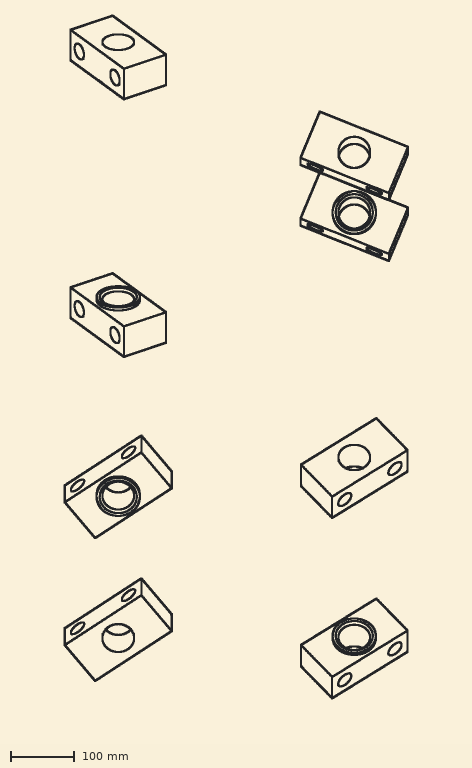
import cadquery as cq

overall_height = 520.0
block_length = 150.0
block_width = 80.0
block_height = 55.0

collar_diameter = 68.0
collar_height = 5.0

bore_diameter = 50.0
bore_chamfer = 4.0
bolt_hole_diameter = 26.0
bolt_hole_spacing = 100.0


def make_block():
    """Lower clamp block, resting on Z = 0 with its collar pointing up."""
    block = cq.Workplane("XY").box(
        block_length, block_width, block_height, centered=(True, True, False)
    )
    collar = (
        cq.Workplane("XY")
        .workplane(offset=block_height)
        .circle(collar_diameter / 2)
        .extrude(collar_height)
    )
    block = block.union(collar)

    bore_mouth = bore_diameter + 2 * bore_chamfer
    block = block.faces(">Z").workplane().cskHole(bore_diameter, bore_mouth, 90)

    bolt_holes = (
        cq.Workplane("XZ")
        .pushPoints([(side * bolt_hole_spacing / 2, block_height / 2) for side in (-1, 1)])
        .circle(bolt_hole_diameter / 2)
        .extrude(block_width, both=True)
    )
    return block.cut(bolt_holes)


blocks = []
for base_height, turn in ((0, 0), (overall_height, 180)):
    block = make_block().rotate((0, 0, 0), (1, 0, 0), turn).translate((0, 0, base_height))
    blocks.append(block.val())

result = cq.Compound.makeCompound(blocks)